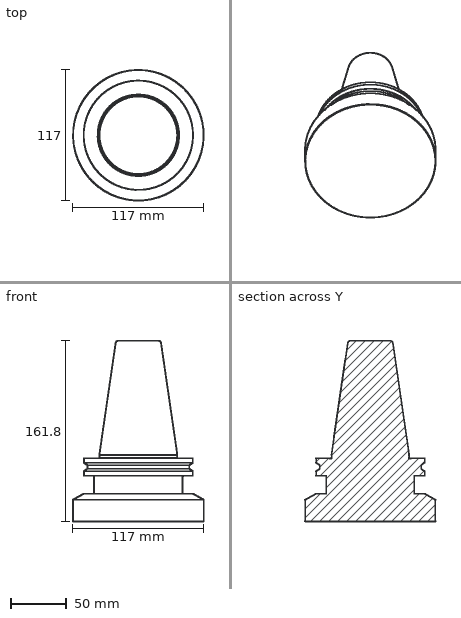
import cadquery as cq

gauge_height = 60.0
taper_length = 101.75
overall_height = gauge_height + taper_length

gauge_radius = 69.85 / 2
taper_rate = 7 / 24
tip_radius = gauge_radius - taper_length * taper_rate / 2
tip_round = 2.5

flange_radius = 97.5 / 2
flange_top = gauge_height - 3.2
flange_bottom = gauge_height - 19.1

groove_centre = gauge_height - 11.1
groove_floor_radius = 91.25 / 2
groove_floor_half = 1.4
groove_mouth_half = 3.68
groove_corner_width = 0.5
groove_corner_radius = groove_floor_radius + groove_corner_width
groove_corner_half = groove_floor_half + 0.6

notch_depth = 0.3
notch_height = gauge_height - 0.6
notch_bottom = gauge_height - 1.7

recess_depth = 0.3
undercut_depth = 0.3
undercut_top = flange_top + 0.4
recess_floor = flange_top - recess_depth
recess_floor_radius = gauge_radius + 1.1
recess_outer_radius = gauge_radius + 1.6

hub_radius = 79.3 / 2
hub_round = 0.5

body_radius = 117.0 / 2
body_top = 25.0
body_top_radius = 98.0 / 2
body_shoulder = 19.7
body_bottom_chamfer = 0.5

seam_angle = 55.0


def turned(points):
    """Revolve a closed (radius, height) outline about the Z axis."""
    outline = cq.Workplane("XZ").polyline(points).close()
    return outline.revolve(360, (0, 0, 0), (0, 1, 0))


def ring_edges(part, radius, height):
    """Select the circular edge of the given radius at the given height."""
    tolerance = 0.01
    return part.edges("%CIRCLE").filter(
        lambda edge: abs(edge.radius() - radius) < tolerance
        and abs(edge.Center().z - height) < tolerance
    )


def make_body():
    body = turned([
        (0, 0),
        (body_radius, 0),
        (body_radius, body_shoulder),
        (body_top_radius, body_top),
        (0, body_top),
    ])
    return body.faces("<Z").edges().chamfer(body_bottom_chamfer)


def make_hub():
    return turned([
        (0, 0),
        (hub_radius, 0),
        (hub_radius, flange_top),
        (0, flange_top),
    ])


def make_flange():
    return turned([
        (0, flange_bottom),
        (flange_radius, flange_bottom),
        (flange_radius, groove_centre - groove_mouth_half),
        (groove_corner_radius, groove_centre - groove_corner_half),
        (groove_floor_radius, groove_centre - groove_floor_half),
        (groove_floor_radius, groove_centre + groove_floor_half),
        (groove_corner_radius, groove_centre + groove_corner_half),
        (flange_radius, groove_centre + groove_mouth_half),
        (flange_radius, flange_top),
        (0, flange_top),
    ])


def make_shank():
    """Taper with a rounded tip, standing on a straight neck."""
    shank = turned([
        (0, flange_bottom),
        (gauge_radius, flange_bottom),
        (gauge_radius, gauge_height),
        (tip_radius, overall_height),
        (0, overall_height),
    ])
    return shank.faces(">Z").edges().fillet(tip_round)


def make_notch():
    """Ring with a V-shaped inner side that trims the neck."""
    outer_radius = gauge_radius + notch_depth
    return turned([
        (gauge_radius, gauge_height),
        (gauge_radius - notch_depth, notch_height),
        (gauge_radius, notch_bottom),
        (outer_radius, notch_bottom),
        (outer_radius, gauge_height),
    ])


def make_recess():
    """Ring below the flange top whose inner wall undercuts the foot of the neck."""
    return turned([
        (gauge_radius - undercut_depth, recess_floor),
        (recess_floor_radius, recess_floor),
        (recess_outer_radius, flange_top),
        (recess_outer_radius, undercut_top),
        (gauge_radius, undercut_top),
    ])


holder = make_body().union(make_hub()).union(make_flange()).union(make_shank())
holder = holder.cut(make_notch()).cut(make_recess())
for hub_end in (body_top, flange_bottom):
    holder = ring_edges(holder, hub_radius, hub_end).fillet(hub_round)

result = holder.rotate((0, 0, 0), (0, 0, 1), seam_angle)